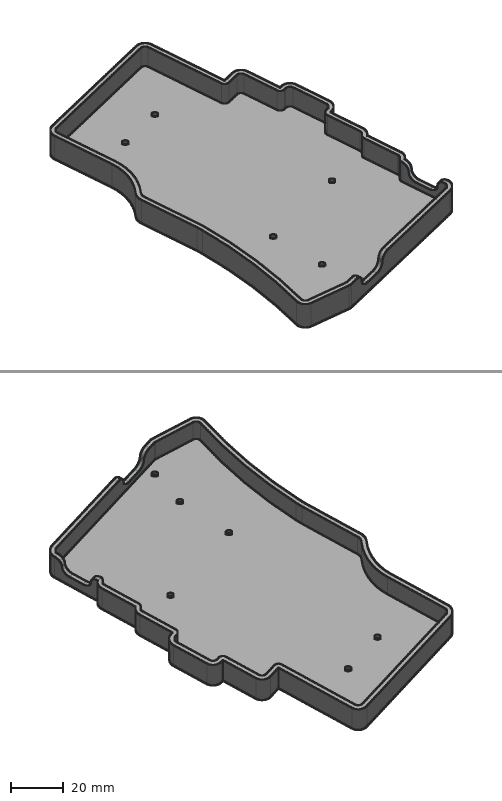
import cadquery as cq
import math

length = 143.2
height = 12.2
wall = 2.0
floor_thickness = 2.0
corner_radius = 4.0

left_top = 62.6
second_top = 71.7
tab_top = 76.6
fourth_top = 69.5
right_top = 67.2
second_left = 38.2
tab_left = 57.5
tab_right = 81.0
second_right = 100.2
fourth_right = 119.5

sweep_start = 30.8
sweep_radius = 21.6
sweep_fillet = 5.5
lower_flat = -9.6
bend_start = 77.3
bend_end = 80.0
bend_end_drop = 0.1
tip = (135.6, -22.0)
tip_arc_radius = 200.0
right_side_bottom = -1.5

scoop_depth = 7.0
scoop_flat = 6.3
back_scoop_x = 129.0
right_scoop_y = 12.6

hole_diameter = 2.5
hole_places = [(21.5, 40.7), (21.5, 21.5), (97.4, 50.1), (97.4, 12.0), (121.4, 10.3), (137.0, 4.7)]


def step_down(path, right, top, drop):
    """Run right along a level, then round its end until the arc meets the next level."""
    reach = math.sqrt(corner_radius**2 - (corner_radius - drop) ** 2)
    arc_start = right - corner_radius
    return path.lineTo(arc_start, top).radiusArc((arc_start + reach, top - drop), corner_radius)


def outer_block():
    turn = math.acos(1 + lower_flat / (sweep_radius + sweep_fillet))
    sweep_end = (sweep_start + sweep_radius * math.sin(turn), -sweep_radius * (1 - math.cos(turn)))
    flat_start = sweep_start + (sweep_radius + sweep_fillet) * math.sin(turn)

    path = (
        cq.Workplane("XY")
        .moveTo(0, 0)
        .lineTo(0, left_top)
        .lineTo(second_left, left_top)
        .lineTo(second_left, second_top)
        .lineTo(tab_left, second_top)
        .lineTo(tab_left, tab_top)
        .lineTo(tab_right, tab_top)
        .lineTo(tab_right, second_top)
    )
    path = step_down(path, second_right, second_top, second_top - fourth_top)
    path = step_down(path, fourth_right, fourth_top, fourth_top - right_top)
    path = (
        path.lineTo(length, right_top)
        .lineTo(length, right_side_bottom)
        .lineTo(*tip)
        .radiusArc((bend_end, lower_flat - bend_end_drop), -tip_arc_radius)
        .lineTo(bend_start, lower_flat)
        .lineTo(flat_start, lower_flat)
        .radiusArc(sweep_end, sweep_fillet)
        .radiusArc((sweep_start, 0), -sweep_radius)
        .close()
    )
    block = path.extrude(height)

    rounded_corners = [
        (0, 0),
        (0, left_top),
        (second_left, second_top),
        (tab_left, tab_top),
        (tab_right, tab_top),
        (length, right_top),
        (length, right_side_bottom),
        tip,
    ]
    for x, y in rounded_corners:
        corner = cq.selectors.NearestToPointSelector((x, y, height / 2))
        block = block.edges("|Z").edges(corner).fillet(corner_radius)
    return block


def scoop_cutter(plane, cut_depth):
    """Recess in the rim with S-shaped ends: a flat bottom and two equal quarter arcs per side."""
    radius = scoop_depth / 2
    bottom = height - scoop_depth
    middle = height - radius
    half_flat = scoop_flat / 2
    return (
        cq.Workplane(plane)
        .moveTo(-half_flat, bottom)
        .lineTo(half_flat, bottom)
        .radiusArc((half_flat + radius, middle), -radius)
        .radiusArc((half_flat + 2 * radius, height), radius)
        .lineTo(-half_flat - 2 * radius, height)
        .radiusArc((-half_flat - radius, middle), radius)
        .radiusArc((-half_flat, bottom), -radius)
        .close()
        .extrude(cut_depth / 2, both=True)
    )


def tray_pocket(block):
    """Space inside the walls: the outline moved inward by the wall thickness, above the floor."""
    outline = block.faces("<Z").wires().val().translate((0, 0, floor_thickness))
    return cq.Workplane("XY").add(outline).toPending().offset2D(-wall).extrude(height - floor_thickness)


case = outer_block()
case = case.cut(tray_pocket(case))

case = case.cut(scoop_cutter("XZ", wall).translate((back_scoop_x, right_top - wall / 2, 0)))
case = case.cut(scoop_cutter("YZ", wall).translate((length - wall / 2, right_scoop_y, 0)))

holes = cq.Workplane("XY").pushPoints(hole_places).circle(hole_diameter / 2).extrude(floor_thickness)
result = case.cut(holes)